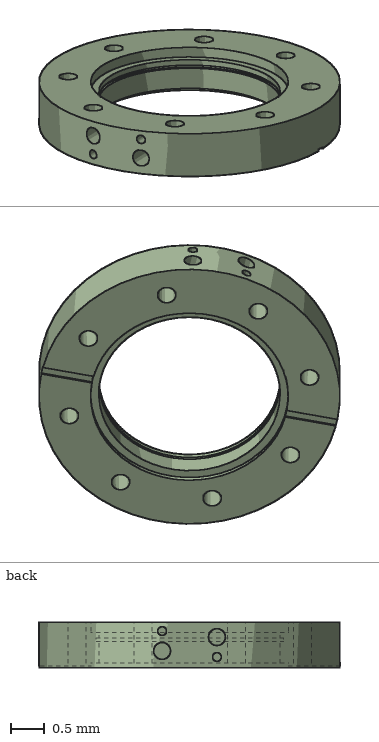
import cadquery as cq
import math

outer_diameter = 4.47
thickness = 0.68
bore_diameter = 2.69

recess_diameter = 2.932
top_recess_depth = 0.15
bottom_recess_depth = 0.075

groove_floor_height = 0.395
groove_width = 0.05
groove_depth = 0.05

bolt_count = 8
bolt_circle_diameter = 3.63
bolt_hole_diameter = 0.27
bolt_pitch_angle = 360 / bolt_count

port_offset = 0.405
port_diameter = 0.25
pin_diameter = 0.13
rim_hole_depth = 0.445
left_port_height = 0.455
left_pin_height = 0.16
right_port_height = 0.25
right_pin_height = 0.545

channel_width = 0.115
channel_depth = 0.025


def disc(diameter, base_height, height):
    """Solid disc on the flange axis."""
    return cq.Workplane("XY").workplane(offset=base_height).circle(diameter / 2).extrude(height)


def rim_hole(x, z, diameter, side):
    """Cutter for a blind rim hole; side is -1 for the -Y rim and +1 for the +Y rim."""
    outer_radius = outer_diameter / 2
    rim_y = math.sqrt(outer_radius**2 - x**2)
    floor_y = rim_y - rim_hole_depth
    start = cq.Vector(x, side * floor_y, z)
    direction = cq.Vector(0, side, 0)
    return cq.Solid.makeCylinder(diameter / 2, outer_radius - floor_y, start, direction)


flange = disc(outer_diameter, 0, thickness)
flange = flange.cut(disc(bore_diameter, 0, thickness))
flange = flange.cut(disc(recess_diameter, thickness - top_recess_depth, top_recess_depth))
flange = flange.cut(disc(recess_diameter, 0, bottom_recess_depth))
flange = flange.cut(disc(bore_diameter + 2 * groove_depth, groove_floor_height, groove_width))

bolt_holes = (
    cq.Workplane("XY")
    .polarArray(bolt_circle_diameter / 2, bolt_pitch_angle / 2, 360, bolt_count)
    .circle(bolt_hole_diameter / 2)
    .extrude(thickness)
)
flange = flange.cut(bolt_holes)

rim_holes = (
    (-port_offset, left_port_height, port_diameter),
    (-port_offset, left_pin_height, pin_diameter),
    (port_offset, right_port_height, port_diameter),
    (port_offset, right_pin_height, pin_diameter),
)
for side in (-1, 1):
    for x, z, diameter in rim_holes:
        flange = flange.cut(cq.Workplane(rim_hole(x, z, diameter, side)))

channel = cq.Workplane("XY").box(
    outer_diameter, channel_width, channel_depth, centered=(True, True, False)
)
result = flange.cut(channel)